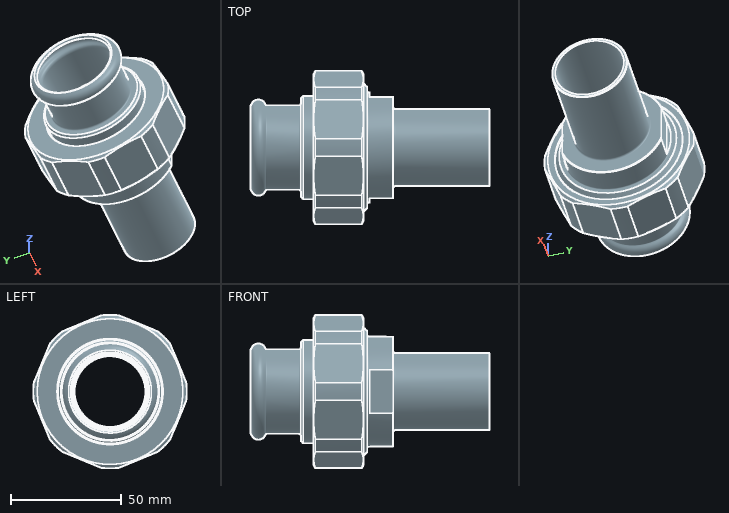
import cadquery as cq
import math

TOTAL_LENGTH = 108.5

WALL = 1.5
SOCKET_OD = 38.4
SOCKET_ID = SOCKET_OD - 2 * WALL
MOUTH_RIM_RADIUS = 18.8
LIP_BORE_RADIUS = 17.9
BEAD_CENTER_X = 3.7
BEAD_RADIUS = 3.36
BEAD_TOP_RADIUS = 21.85
BEAD_FLANK_ANGLE = math.radians(61)
BEAD_BLEND = 0.3
SOCKET_STOP_X = 27.0
SOCKET_BORE = 34.0
STOP_CHAMFER = 0.35
COLLAR_X = 22.9
COLLAR_DIA = 47.0
COLLAR_CHAMFER = 1.1
COLLAR_BLEND = 0.8
FLANGE_DIA = 54.5
FLANGE_LENGTH = 4.0

NUT_X = 28.5
NUT_LENGTH = 23.0
NUT_DIA = 69.68
NUT_ACROSS_FLATS = 67.0
NUT_SIDES = 8
NUT_FACE_DIA = 66.0
NUT_CHAMFER_LENGTH = 1.0
NUT_NECK_BORE = 47.5
NUT_NECK_CHAMFER = 0.3
NUT_FLOOR = 4.6

THREAD_DIA = 59.5
THREAD_END_X = 53.1
THREAD_CHAMFER = 2.4
HUB_DIA = 50.0
HUB_END_X = 64.8
HUB_ROOT_BLEND = 0.5
HUB_CHAMFER = 0.25
WRENCH_FLATS = 46.0
WRENCH_FLATS_X = 54.1
SPIGOT_OD = 35.0
SPIGOT_BLEND = 0.9
SPIGOT_CHAMFER = 0.25
TAIL_BORE = 32.0
TAIL_BORE_CHAMFER = 0.3

NUT_END_X = NUT_X + NUT_LENGTH
FLANGE_X = NUT_X + NUT_FLOOR
JOINT_X = FLANGE_X + FLANGE_LENGTH


def revolve_about_x(profile):
    """Turn a closed (x, radius) profile about the X axis."""
    return profile.close().revolve(360, (0, 0, 0), (1, 0, 0))


def arc_mid(center, radius, start_angle, end_angle):
    """Middle point of an arc given by its centre, radius and end angles."""
    angle = (start_angle + end_angle) / 2
    return (center[0] + radius * math.cos(angle), center[1] + radius * math.sin(angle))


def bead_points(depth):
    """Key points of the bead surface lying `depth` below the outer skin of the tube wall."""
    radius = BEAD_RADIUS - depth
    blend = BEAD_BLEND + depth
    tube_radius = SOCKET_OD / 2 - depth
    center = (BEAD_CENTER_X, BEAD_TOP_RADIUS - BEAD_RADIUS)
    half_width = radius * math.sin(BEAD_FLANK_ANGLE)
    shoulder_radius = center[1] + radius * math.cos(BEAD_FLANK_ANGLE)
    corner_x = center[0] + half_width + (shoulder_radius - tube_radius) / math.tan(BEAD_FLANK_ANGLE)
    reach = blend * math.tan(BEAD_FLANK_ANGLE / 2)
    blend_end = (corner_x + reach, tube_radius)
    blend_center = (blend_end[0], tube_radius + blend)
    return {
        "front": (center[0] - half_width, shoulder_radius),
        "top": (center[0], center[1] + radius),
        "rear": (center[0] + half_width, shoulder_radius),
        "blend_start": (
            corner_x - reach * math.cos(BEAD_FLANK_ANGLE),
            tube_radius + reach * math.sin(BEAD_FLANK_ANGLE),
        ),
        "blend_mid": arc_mid(blend_center, blend, -math.pi / 2 - BEAD_FLANK_ANGLE, -math.pi / 2),
        "blend_end": blend_end,
    }


def make_socket():
    outer = bead_points(0)
    inner = bead_points(WALL)
    collar_radius = COLLAR_DIA / 2
    tube_radius = SOCKET_OD / 2
    blend_center = (COLLAR_X - COLLAR_BLEND, tube_radius + COLLAR_BLEND)
    lip_round = MOUTH_RIM_RADIUS - LIP_BORE_RADIUS
    lip_center = (lip_round, MOUTH_RIM_RADIUS)
    lip_inner_x = inner["front"][0] - (inner["front"][1] - LIP_BORE_RADIUS) / math.tan(BEAD_FLANK_ANGLE)
    profile = (
        cq.Workplane("XY")
        .moveTo(0, MOUTH_RIM_RADIUS)
        .lineTo(*outer["front"])
        .threePointArc(outer["top"], outer["rear"])
        .lineTo(*outer["blend_start"])
        .threePointArc(outer["blend_mid"], outer["blend_end"])
        .lineTo(blend_center[0], tube_radius)
        .threePointArc(
            arc_mid(blend_center, COLLAR_BLEND, -math.pi / 2, 0),
            (COLLAR_X, blend_center[1]),
        )
        .lineTo(COLLAR_X, collar_radius - COLLAR_CHAMFER)
        .lineTo(COLLAR_X + COLLAR_CHAMFER, collar_radius)
        .lineTo(FLANGE_X, collar_radius)
        .lineTo(FLANGE_X, FLANGE_DIA / 2)
        .lineTo(JOINT_X, FLANGE_DIA / 2)
        .lineTo(JOINT_X, SOCKET_BORE / 2)
        .lineTo(SOCKET_STOP_X + STOP_CHAMFER, SOCKET_BORE / 2)
        .lineTo(SOCKET_STOP_X, SOCKET_BORE / 2 + STOP_CHAMFER)
        .lineTo(SOCKET_STOP_X, SOCKET_ID / 2)
        .lineTo(*inner["blend_end"])
        .threePointArc(inner["blend_mid"], inner["blend_start"])
        .lineTo(*inner["rear"])
        .threePointArc(inner["top"], inner["front"])
        .lineTo(lip_inner_x, LIP_BORE_RADIUS)
        .lineTo(lip_round, LIP_BORE_RADIUS)
        .threePointArc(
            arc_mid(lip_center, lip_round, -math.pi / 2, -math.pi),
            (0, MOUTH_RIM_RADIUS),
        )
    )
    return revolve_about_x(profile)


def make_nut():
    profile = (
        cq.Workplane("XY")
        .moveTo(NUT_X + NUT_NECK_CHAMFER, NUT_NECK_BORE / 2)
        .lineTo(NUT_X, NUT_NECK_BORE / 2 + NUT_NECK_CHAMFER)
        .lineTo(NUT_X, NUT_FACE_DIA / 2)
        .lineTo(NUT_X + NUT_CHAMFER_LENGTH, NUT_DIA / 2)
        .lineTo(NUT_END_X - NUT_CHAMFER_LENGTH, NUT_DIA / 2)
        .lineTo(NUT_END_X, NUT_FACE_DIA / 2)
        .lineTo(NUT_END_X, THREAD_DIA / 2)
        .lineTo(FLANGE_X, THREAD_DIA / 2)
        .lineTo(FLANGE_X, NUT_NECK_BORE / 2)
    )
    across_corners = NUT_ACROSS_FLATS / math.cos(math.pi / NUT_SIDES)
    octagon = (
        cq.Workplane("YZ", origin=(NUT_X, 0, 0))
        .polygon(NUT_SIDES, across_corners)
        .extrude(NUT_LENGTH)
    )
    return revolve_about_x(profile).intersect(octagon)


def make_tail():
    thread_radius = THREAD_DIA / 2
    hub_radius = HUB_DIA / 2
    spigot_radius = SPIGOT_OD / 2
    root_center = (THREAD_END_X + HUB_ROOT_BLEND, hub_radius + HUB_ROOT_BLEND)
    spigot_center = (HUB_END_X + SPIGOT_BLEND, spigot_radius + SPIGOT_BLEND)
    profile = (
        cq.Workplane("XY")
        .moveTo(JOINT_X + TAIL_BORE_CHAMFER, TAIL_BORE / 2)
        .lineTo(JOINT_X, TAIL_BORE / 2 + TAIL_BORE_CHAMFER)
        .lineTo(JOINT_X, thread_radius)
        .lineTo(THREAD_END_X - THREAD_CHAMFER, thread_radius)
        .lineTo(THREAD_END_X, thread_radius - THREAD_CHAMFER)
        .lineTo(THREAD_END_X, root_center[1])
        .threePointArc(
            arc_mid(root_center, HUB_ROOT_BLEND, -math.pi, -math.pi / 2),
            (root_center[0], hub_radius),
        )
        .lineTo(HUB_END_X - HUB_CHAMFER, hub_radius)
        .lineTo(HUB_END_X, hub_radius - HUB_CHAMFER)
        .lineTo(HUB_END_X, spigot_center[1])
        .threePointArc(
            arc_mid(spigot_center, SPIGOT_BLEND, -math.pi, -math.pi / 2),
            (spigot_center[0], spigot_radius),
        )
        .lineTo(TOTAL_LENGTH - SPIGOT_CHAMFER, spigot_radius)
        .lineTo(TOTAL_LENGTH, spigot_radius - SPIGOT_CHAMFER)
        .lineTo(TOTAL_LENGTH, TAIL_BORE / 2)
    )
    tail = revolve_about_x(profile)

    flat_length = HUB_END_X - WRENCH_FLATS_X
    cut_depth = (HUB_DIA - WRENCH_FLATS) / 2
    for side in (-1, 1):
        cutter = cq.Workplane("XY").box(flat_length, cut_depth, HUB_DIA).translate(
            (WRENCH_FLATS_X + flat_length / 2, side * (WRENCH_FLATS + cut_depth) / 2, 0)
        )
        tail = tail.cut(cutter)
    return tail


socket = make_socket()
nut = make_nut()
tail = make_tail()

result = cq.Compound.makeCompound([socket.val(), nut.val(), tail.val()])